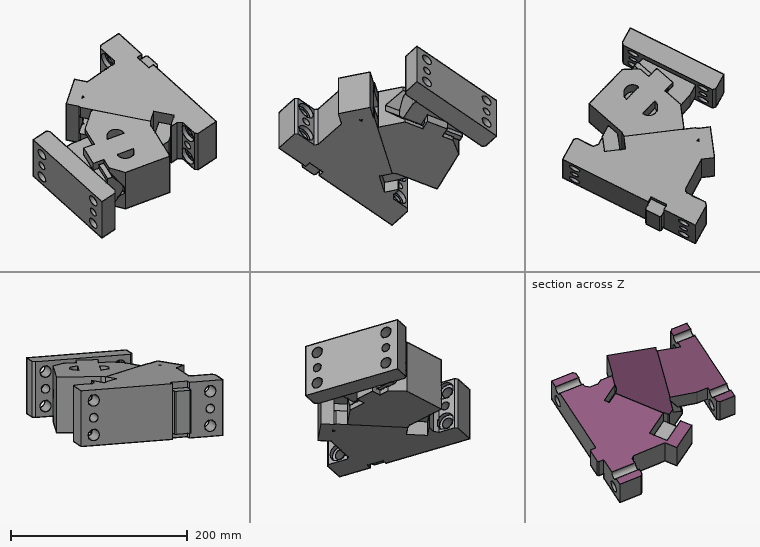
import cadquery as cq
import math

thickness = 65.0
half_thickness = thickness / 2

base_width = 169.9
base_back = 175.0
flange_thickness = 30.0
flange_face = base_back - flange_thickness
flange_chamfer = 3.0
neck_left_top = 30.1
neck_left_bottom = 30.7
neck_right = 142.4
slot_tip_x = 141.3
neck_relief_y = 140.2
neck_relief_width = 4.0
key_left = 40.3
key_width = 20.0
key_back = 182.5
key_front = 168.3
key_length = 50.0
key_chamfer = 1.5

slide_angle = math.radians(35)
slide_face_n = 27.5
lip_start_t = 68.5
lip_end_t = 83.4
lip_face_n = 28.7
lip_back_n = 65.9
lip_step_run = 1.8
slot_start_t = 167.2
slot_end_t = 191.0
slot_back_n = 42.7
stop_start_t = 173.0
stop_right = 145.6
stop_width = 29.4
pocket_width = 29.4
pocket_end_t = 105.5
pocket_depth = 33.5
pocket_overrun = 1.8
relief_triangle = [(42.7, 84.3), (45.6, 84.3), (44.7, 81.8)]

hole_inset = 15.1
screw_spacing = 40.2
screw_heights = (-screw_spacing / 2, screw_spacing / 2)
screw_diameter = 13.1
counterbore_diameter = 20.6
counterbore_depth = 5.5
dowel_diameter = 10.0

tilt = math.radians(15)
frame_x = 105.3
frame_y = 48.4
hook_width = 25.0
hook_height = 13.3
hook_gap = 0.5
flange_half_width = 26.0
head_thickness = 6.0
roof_angle = math.radians(32)
ridge_half_width = 5.0
ridge_height = (flange_half_width - ridge_half_width) * math.tan(roof_angle)

plate_left = 55.3
plate_right = 175.0
plate_height = 22.3
plate_chamfer = 3.0
neck_half_width = 19.7
driver_width = 69.9
driver_left_u = (hook_width - driver_width) / 2
driver_right_u = driver_left_u + driver_width
driver_shoulder_x = 79.8
driver_shoulder_y = 36.0

slide_start_t = 98.4
slide_corner_chamfer = 1.3
slide_top_v = 69.7
slide_top_start_u = 2.2
slide_right_u = 52.7
slide_cut_v = 13.9
slide_cut_u = 38.3
lower_cheek_drop = 1.5
window_radius = 10.0
window_v = 27.0
window_depth = 25.5


def slide_point(t, n):
    """XY position of a point given in the sliding frame."""
    return (
        t * math.cos(slide_angle) - n * math.sin(slide_angle),
        t * math.sin(slide_angle) + n * math.cos(slide_angle),
    )


def driver_point(u, v):
    """XY position of a point given in the tilted driver frame."""
    return (
        frame_x + u * math.cos(tilt) + v * math.sin(tilt),
        frame_y - u * math.sin(tilt) + v * math.cos(tilt),
    )


def prism(points, z_low, z_high):
    """Upright prism over an XY outline."""
    return cq.Workplane("XY").workplane(offset=z_low).polyline(points).close().extrude(z_high - z_low)


def centred_prism(points, height):
    return prism(points, -height / 2, height / 2)


def driver_box(u_low, u_high, v_low, v_high, z_low, z_high):
    """Block whose sides follow the tilted driver frame."""
    corners = [(u_low, v_low), (u_high, v_low), (u_high, v_high), (u_low, v_high)]
    return prism([driver_point(u, v) for u, v in corners], z_low, z_high)


def cross_section_bar(z_v_points, u_low, u_high):
    """Bar along u with a cross-section given as (z, v) points."""
    plane = cq.Plane(
        origin=(*driver_point(u_high, 0), 0),
        xDir=(0, 0, 1),
        normal=(-math.cos(tilt), math.sin(tilt), 0),
    )
    return cq.Workplane(plane).polyline(z_v_points).close().extrude(u_high - u_low)


def cylinder_along_y(x, z, y_start, length, diameter):
    """Round cutter running from y_start toward +Y."""
    return cq.Workplane("XZ", origin=(x, y_start, z)).circle(diameter / 2).extrude(-length)


def on_slide_line(x, n):
    """Point at a given X on the line of constant n."""
    return (x, (n + x * math.sin(slide_angle)) / math.cos(slide_angle))


def on_cross_line(x, t):
    """Point at a given X on the line of constant t."""
    return (x, (t - x * math.cos(slide_angle)) / math.sin(slide_angle))


def on_slide_top(x):
    """Point at a given X on the slide's upper edge."""
    return (x, frame_y + (slide_top_v - (x - frame_x) * math.sin(tilt)) / math.cos(tilt))


def on_driver_side(y, u):
    """Point at a given Y on the line of constant u."""
    return (frame_x + (u + (y - frame_y) * math.sin(tilt)) / math.cos(tilt), y)


def cross_line_meets_v(t, v):
    """Corner where the lines of constant t and constant v meet."""
    v_offset = v + frame_x * math.sin(tilt) + frame_y * math.cos(tilt)
    n = (v_offset - t * math.sin(slide_angle + tilt)) / math.cos(slide_angle + tilt)
    return slide_point(t, n)


def cut_fastening_holes(body, x, y_start, length):
    """Cut one column of two screw holes with a dowel hole between them."""
    for z in screw_heights:
        body = body.cut(cylinder_along_y(x, z, y_start, length, screw_diameter))
    return body.cut(cylinder_along_y(x, 0, y_start, length, dowel_diameter))


def base_block():
    """Flanged base with the sliding face, its end lip and the slot beside the slide."""
    slot_tip = on_cross_line(slot_tip_x, slot_end_t)
    outline = [
        (0, base_back),
        (0, flange_face + flange_chamfer),
        (flange_chamfer, flange_face),
        (neck_left_top - flange_chamfer, flange_face),
        (neck_left_top, flange_face - flange_chamfer),
        on_slide_line(neck_left_bottom, lip_back_n),
        slide_point(lip_start_t, lip_back_n),
        slide_point(lip_start_t, lip_face_n),
        slide_point(lip_end_t, lip_face_n),
        slide_point(lip_end_t + lip_step_run, slide_face_n),
        slide_point(slot_start_t, slide_face_n),
        slide_point(slot_start_t, slot_back_n),
        slide_point(slot_end_t, slot_back_n),
        slot_tip,
        (neck_right, slot_tip[1]),
        (neck_right, neck_relief_y),
        (neck_right + neck_relief_width, flange_face),
        (base_width - flange_chamfer, flange_face),
        (base_width, flange_face + flange_chamfer),
        (base_width, base_back),
    ]
    return centred_prism(outline, thickness)


def base_stop():
    """Stop bar across the end of the slot, resting on the slide's upper edge."""
    outline = [
        slide_point(stop_start_t, slot_back_n),
        slide_point(slot_end_t, slot_back_n),
        on_cross_line(stop_right, slot_end_t),
        on_slide_top(stop_right),
        cross_line_meets_v(stop_start_t, slide_top_v),
    ]
    return centred_prism(outline, stop_width)


def key_block(back, length):
    """Block of the key's width, from the keyway floor to the given Y."""
    corner = (key_left, key_front, 0)
    block = cq.Workplane("XY").box(key_width, back - key_front, length, centered=(False, False, True))
    return block.translate(corner)


def make_base():
    base = base_block().union(base_stop())

    base = base.cut(key_block(base_back, thickness))
    base = base.union(key_block(key_back, key_length).edges(">Y and |Z").chamfer(key_chamfer))

    pocket = [
        slide_point(lip_end_t, lip_face_n - pocket_overrun),
        slide_point(pocket_end_t, lip_face_n - pocket_overrun),
        slide_point(pocket_end_t, slide_face_n + pocket_depth),
        slide_point(lip_end_t, slide_face_n + pocket_depth),
    ]
    base = base.cut(centred_prism(pocket, pocket_width))
    base = base.cut(centred_prism(relief_triangle, thickness))

    for x in (hole_inset, base_width - hole_inset):
        base = cut_fastening_holes(base, x, flange_face, flange_thickness)
        for z in screw_heights:
            counterbore = cylinder_along_y(x, z, flange_face, counterbore_depth, counterbore_diameter)
            base = base.cut(counterbore)
    return base


def roof_ridge(u_low, u_high):
    """Flat-topped ridge that the slide rides on."""
    section = [
        (-flange_half_width, 0),
        (flange_half_width, 0),
        (ridge_half_width, ridge_height),
        (-ridge_half_width, ridge_height),
    ]
    return cross_section_bar(section, u_low, u_high)


def make_driver():
    plate_outline = [
        (plate_left, 0),
        (plate_right, 0),
        (plate_right, plate_height - plate_chamfer),
        (plate_right - plate_chamfer, plate_height),
        (plate_left + plate_chamfer, plate_height),
        (plate_left, plate_height - plate_chamfer),
    ]
    driver = centred_prism(plate_outline, thickness)
    for x in (plate_left + hole_inset, plate_right - hole_inset):
        driver = cut_fastening_holes(driver, x, 0, plate_height)

    neck_outline = [
        (driver_shoulder_x, plate_height),
        on_driver_side(plate_height, driver_right_u),
        driver_point(driver_right_u, ridge_height),
        driver_point(driver_left_u, ridge_height),
        (driver_shoulder_x, driver_shoulder_y),
    ]
    neck = centred_prism(neck_outline, 2 * neck_half_width)

    head = driver_box(0, driver_right_u, -head_thickness, 0, -flange_half_width, flange_half_width)
    head = head.union(roof_ridge(0, driver_right_u))
    above_roof = driver_box(
        driver_left_u - hook_width, slide_right_u, 0, slide_top_v, -half_thickness, half_thickness
    ).cut(roof_ridge(driver_left_u - hook_width, slide_right_u))
    return driver.union(neck.cut(above_roof)).union(head)


def slide_outline(bottom_v):
    """Slide outline without the hooks; the lower edge lies at the given v."""
    return [
        slide_point(slide_start_t + slide_corner_chamfer, slide_face_n),
        slide_point(slide_start_t, slide_face_n - slide_corner_chamfer),
        cross_line_meets_v(slide_start_t, bottom_v),
        driver_point(slide_cut_u, bottom_v),
        driver_point(slide_right_u, slide_cut_v),
        driver_point(slide_right_u, slide_top_v),
        driver_point(slide_top_start_u, slide_top_v),
        slide_point(slot_start_t, slide_face_n),
    ]


def make_slide():
    slide = prism(slide_outline(0), 0, half_thickness)
    slide = slide.union(prism(slide_outline(-lower_cheek_drop), -half_thickness, 0))

    far_left_u = driver_left_u - slide_right_u
    slide = slide.cut(roof_ridge(far_left_u, slide_right_u))
    slide = slide.cut(
        driver_box(far_left_u, slide_right_u, -hook_height, 0, -flange_half_width, flange_half_width)
    )

    neck_clearance = neck_half_width + hook_gap
    for side in (-1, 1):
        z_low, z_high = sorted((side * neck_clearance, side * half_thickness))
        hook = driver_box(0, hook_width, -hook_height, 0, z_low, z_high)
        slot_low, slot_high = sorted((side * neck_clearance, side * flange_half_width))
        hook = hook.cut(driver_box(0, hook_width, -head_thickness, 0, slot_low, slot_high))
        slide = slide.union(hook)

    for centre_u, half_start_u in ((0, -window_radius), (hook_width, hook_width)):
        bore = (
            cq.Workplane("XY", origin=(*driver_point(centre_u, window_v), half_thickness))
            .circle(window_radius)
            .extrude(-window_depth)
        )
        half = driver_box(
            half_start_u,
            half_start_u + window_radius,
            window_v - window_radius,
            window_v + window_radius,
            half_thickness - window_depth,
            half_thickness,
        )
        slide = slide.cut(bore.intersect(half))
    return slide


base = make_base()
driver = make_driver()
slide = make_slide()

result = cq.Compound.makeCompound([base.val(), driver.val(), slide.val()])